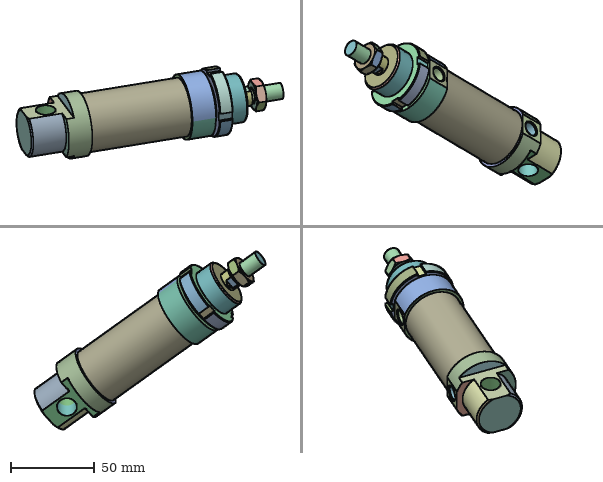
import cadquery as cq
import math

OVERALL_LENGTH = 164.0

SPIGOT_DIAMETER = 30.0
LUG_LENGTH = 21.8
LUG_WIDTH = 26.0
CAP_DIAMETER = 40.0
CAP_LENGTH = 15.0
TUBE_DIAMETER = 36.0
TUBE_LENGTH = 64.0
SPIGOT_LENGTH = 22.5
SPIGOT_CHAMFER = 1.0
LUG_CHAMFER_LENGTH = 0.8
LUG_CHAMFER_DEPTH = 1.3
CAP_STEP_LENGTH = 5.0
PIVOT_DIAMETER = 12.0
PIVOT_FROM_REAR = 14.0

PORT_FLAT_OFFSET = 18.7
PORT_DIAMETER = 8.7
PORT_MOUTH_DIAMETER = 10.0
PORT_DEPTH = 10.0
PORT_FROM_TUBE = 7.0

RING_NUT_DIAMETER = 42.0
RING_NUT_THICKNESS = 8.5
RING_NUT_CHAMFER = 0.5
RING_NUT_GAP = 2.1
RING_NUT_SLOTS = 4
SLOT_WIDTH = 5.2
SLOT_FLOOR_RADIUS = 19.0

ROD_DIAMETER = 12.0
ROD_SHOULDER_LENGTH = 5.7
ROD_FLAT_WIDTH = 10.0
ROD_FLAT_LENGTH = 3.8
NECK_DIAMETER = 8.4
NECK_LENGTH = 2.0
THREAD_DIAMETER = 10.0

HEX_NUT_SIDES = 6
HEX_NUT_WIDTH = 17.0
HEX_NUT_THICKNESS = 6.0
HEX_NUT_CHAMFER_ANGLE = 30.0

rear_cap_front = LUG_LENGTH + CAP_LENGTH
front_cap_rear = rear_cap_front + TUBE_LENGTH
front_cap_front = front_cap_rear + CAP_LENGTH
spigot_front = front_cap_front + SPIGOT_LENGTH
shoulder_front = spigot_front + ROD_SHOULDER_LENGTH
neck_front = shoulder_front + NECK_LENGTH
ring_nut_rear = front_cap_front + RING_NUT_GAP


def cylinder(diameter, start, length):
    """Cylinder on the Y axis, running from start toward +Y."""
    plane = cq.Plane(origin=(0, start, 0), xDir=(1, 0, 0), normal=(0, 1, 0))
    return cq.Workplane(plane).circle(diameter / 2).extrude(length)


def revolved(profile):
    """Turn a closed (radius, y) profile about the Y axis."""
    return cq.Workplane("XY").polyline(profile).close().revolve(360, (0, 0, 0), (0, 1, 0))


def block(x_range, y_range, z_range):
    """Box between the given limits."""
    ranges = (x_range, y_range, z_range)
    sizes = [high - low for low, high in ranges]
    centre = tuple((low + high) / 2 for low, high in ranges)
    return cq.Workplane("XY").box(*sizes).translate(centre)


def make_housing_blank():
    """Turned outline from the rear lug to the front spigot."""
    spigot_radius = SPIGOT_DIAMETER / 2
    cap_radius = CAP_DIAMETER / 2
    tube_radius = TUBE_DIAMETER / 2
    return revolved([
        (0, 0),
        (spigot_radius - LUG_CHAMFER_DEPTH, 0),
        (spigot_radius, LUG_CHAMFER_LENGTH),
        (spigot_radius, LUG_LENGTH),
        (cap_radius, LUG_LENGTH),
        (cap_radius, rear_cap_front),
        (tube_radius, rear_cap_front),
        (tube_radius, front_cap_rear),
        (cap_radius, front_cap_rear),
        (cap_radius, front_cap_front),
        (spigot_radius, front_cap_front),
        (spigot_radius, spigot_front - SPIGOT_CHAMFER),
        (spigot_radius - SPIGOT_CHAMFER, spigot_front),
        (0, spigot_front),
    ])


def cut_lug(housing):
    """Flatten the lug and the rear of its cap on +Z and -Z, and bore the pivot hole."""
    reach = CAP_DIAMETER
    flat_end = LUG_LENGTH + CAP_STEP_LENGTH
    for z_range in ((LUG_WIDTH / 2, reach), (-reach, -LUG_WIDTH / 2)):
        housing = housing.cut(block((-reach, reach), (0, flat_end), z_range))
    pivot = cq.Workplane("XY").center(0, PIVOT_FROM_REAR).circle(PIVOT_DIAMETER / 2)
    return housing.cut(pivot.extrude(LUG_WIDTH, both=True))


def cut_port(housing, cap_rear, port_y):
    """Mill the flat on one cap and drill its blind port with a chamfered mouth."""
    reach = CAP_DIAMETER
    cap_range = (cap_rear, cap_rear + CAP_LENGTH)
    housing = housing.cut(block((-reach, -PORT_FLAT_OFFSET), cap_range, (-reach, reach)))
    mouth_radius = PORT_MOUTH_DIAMETER / 2
    port_radius = PORT_DIAMETER / 2
    mouth_x = -PORT_FLAT_OFFSET
    floor_x = mouth_x + PORT_DEPTH
    drill = (
        cq.Workplane("XY")
        .polyline([
            (mouth_x, port_y),
            (mouth_x, port_y + mouth_radius),
            (mouth_x + mouth_radius - port_radius, port_y + port_radius),
            (floor_x, port_y + port_radius),
            (floor_x, port_y),
        ])
        .close()
        .revolve(360, (0, port_y, 0), (1, port_y, 0))
    )
    return housing.cut(drill)


def make_housing():
    housing = cut_lug(make_housing_blank())
    housing = cut_port(housing, LUG_LENGTH, rear_cap_front - PORT_FROM_TUBE)
    return cut_port(housing, front_cap_rear, front_cap_rear + PORT_FROM_TUBE)


def make_ring_nut():
    """Round nut with four slots across its rim."""
    nut = cylinder(RING_NUT_DIAMETER, ring_nut_rear, RING_NUT_THICKNESS).edges().chamfer(RING_NUT_CHAMFER)
    nut = nut.cut(cylinder(SPIGOT_DIAMETER, ring_nut_rear, RING_NUT_THICKNESS))
    slot = block(
        (SLOT_FLOOR_RADIUS, RING_NUT_DIAMETER),
        (ring_nut_rear, ring_nut_rear + RING_NUT_THICKNESS),
        (-SLOT_WIDTH / 2, SLOT_WIDTH / 2),
    )
    for index in range(RING_NUT_SLOTS):
        angle = index * 360 / RING_NUT_SLOTS
        nut = nut.cut(slot.rotate((0, 0, 0), (0, 1, 0), angle))
    return nut


def make_rod():
    """Rod end standing on the spigot face: shoulder with two flats, neck and thread."""
    rod = cylinder(ROD_DIAMETER, spigot_front, ROD_SHOULDER_LENGTH)
    flat_rear = shoulder_front - ROD_FLAT_LENGTH
    flat_z = ROD_FLAT_WIDTH / 2
    flat_cut = (
        cq.Workplane("YZ")
        .polyline([
            (shoulder_front, flat_z),
            (flat_rear, flat_z),
            (flat_rear - ROD_DIAMETER, flat_z + ROD_DIAMETER),
            (shoulder_front, flat_z + ROD_DIAMETER),
        ])
        .close()
        .extrude(ROD_DIAMETER, both=True)
    )
    rod = rod.cut(flat_cut).cut(flat_cut.mirror("XY"))
    rod = rod.union(cylinder(NECK_DIAMETER, shoulder_front, NECK_LENGTH))
    return rod.union(cylinder(THREAD_DIAMETER, neck_front, OVERALL_LENGTH - neck_front))


def make_hex_nut():
    """Hexagon nut with flats on +Z and -Z and both ends turned to a cone."""
    corner_diameter = HEX_NUT_WIDTH / math.cos(math.pi / HEX_NUT_SIDES)
    plane = cq.Plane(origin=(0, neck_front, 0), xDir=(1, 0, 0), normal=(0, 1, 0))
    nut = cq.Workplane(plane).polygon(HEX_NUT_SIDES, corner_diameter).extrude(HEX_NUT_THICKNESS)
    face_radius = HEX_NUT_WIDTH / 2
    corner_radius = corner_diameter / 2
    cone_length = (corner_radius - face_radius) * math.tan(math.radians(HEX_NUT_CHAMFER_ANGLE))
    nut_front = neck_front + HEX_NUT_THICKNESS
    turned_envelope = revolved([
        (0, neck_front),
        (face_radius, neck_front),
        (corner_radius, neck_front + cone_length),
        (corner_radius, nut_front - cone_length),
        (face_radius, nut_front),
        (0, nut_front),
    ])
    return nut.intersect(turned_envelope).cut(cylinder(THREAD_DIAMETER, neck_front, HEX_NUT_THICKNESS))


housing = make_housing()
ring_nut = make_ring_nut()
rod = make_rod()
hex_nut = make_hex_nut()

bodies = [housing, ring_nut, rod, hex_nut]
result = cq.Compound.makeCompound([body.solids().val() for body in bodies])